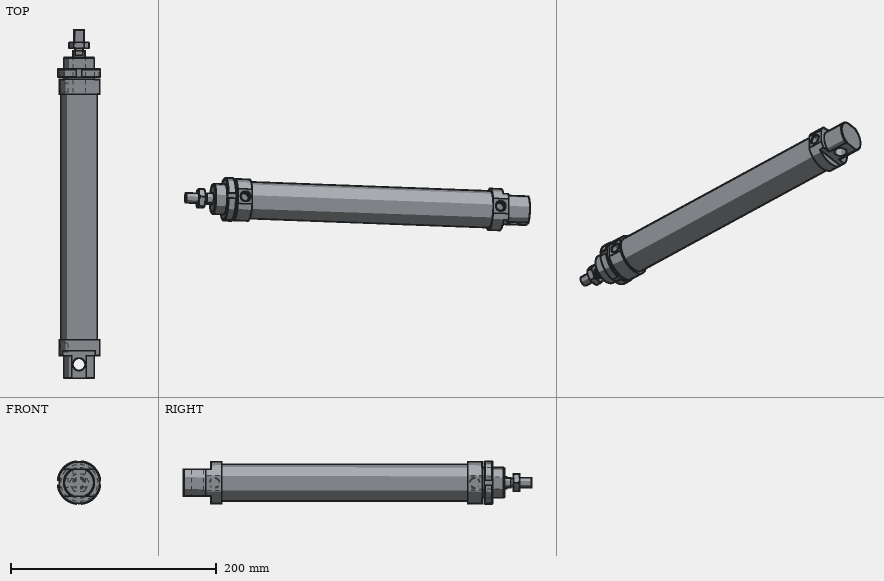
import cadquery as cq
import math


length = 339.0
lug_end = 22.0
lug_pocket_end = 26.8
rear_cap_front = 37.5
front_cap_rear = 276.5
front_cap_front = 291.0
ring_rear = 293.0
ring_front = 301.0
boss_front = 312.5

tube_diameter = 36.0
cap_diameter = 40.7
cap_flat_offset = 19.0
boss_diameter = 30.0
boss_chamfer = 1.0
lug_diameter = 30.0
lug_thickness = 26.0
lug_chamfer = 0.7
pivot_diameter = 12.0
pivot_y = 13.5
port_diameter = 8.8
port_chamfer = 0.7
port_depth = 8.0
front_port_y = 283.5
rear_port_y = 30.2

rod_diameter = 12.0
rod_inner_end = front_cap_rear
thread_diameter = 10.0
thread_length = 17.3
relief_diameter = 8.0
relief_length = 3.0
rod_shoulder_y = length - thread_length - relief_length
flat_length = 4.0
across_rod_flats = 9.5

nut_across_flats = 17.0
nut_thickness = 6.0
nut_chamfer = 0.85
nut_front = 327.0

ring_diameter = 42.0
ring_chamfer = 0.7
ring_slot_count = 4
ring_slot_width = 5.0
ring_slot_depth = 1.7


def disc(diameter, y_start, y_end):
    """Round bar on the Y axis between two stations."""
    return (
        cq.Workplane("XZ", origin=(0, y_start, 0))
        .circle(diameter / 2)
        .extrude(y_start - y_end)
    )


def block(width, height, y_start, y_end):
    """Rectangular bar centred on the Y axis between two stations."""
    return cq.Workplane("XY").box(width, y_end - y_start, height).translate((0, (y_start + y_end) / 2, 0))


def end_cap(y_start, y_end):
    """Round cap with one flat on its -X side for the port."""
    beyond_flat = block(cap_diameter, cap_diameter, y_start, y_end).translate(
        (-cap_flat_offset - cap_diameter / 2, 0, 0)
    )
    return disc(cap_diameter, y_start, y_end).cut(beyond_flat)


def port(y):
    """Blind port with a chamfered mouth, to be cut into the -X flat of a cap."""
    radius = port_diameter / 2
    profile = [
        (0, 0),
        (radius + port_chamfer, 0),
        (radius, port_chamfer),
        (radius, port_depth),
        (0, port_depth),
    ]
    upright_port = cq.Workplane("XY").polyline(profile).close().revolve(360, (0, 0), (0, 1))
    return upright_port.rotate((0, 0, 0), (0, 0, 1), -90).translate((-cap_flat_offset, y, 0))


def make_barrel():
    """Tube with both end caps, the front boss and the rear pivot lug."""
    tube = disc(tube_diameter, rear_cap_front, front_cap_rear)
    boss = disc(boss_diameter, front_cap_front, boss_front).faces(">Y").chamfer(boss_chamfer)
    front_cap = end_cap(front_cap_rear, front_cap_front)
    lug = disc(lug_diameter, 0, lug_end).faces("<Y").chamfer(lug_chamfer)
    rear_end = end_cap(lug_end, rear_cap_front).union(lug)

    around_lug = block(cap_diameter, cap_diameter, 0, lug_pocket_end)
    lug_slab = block(cap_diameter, lug_thickness, 0, lug_pocket_end)
    rear_end = rear_end.cut(around_lug.cut(lug_slab))

    pivot_hole = (
        cq.Workplane("XY", origin=(0, pivot_y, -lug_thickness / 2))
        .circle(pivot_diameter / 2)
        .extrude(lug_thickness)
    )
    rod_bore = disc(rod_diameter, rod_inner_end, boss_front)

    barrel = tube.union(front_cap).union(boss).union(rear_end)
    barrel = barrel.cut(pivot_hole).cut(rod_bore)
    return barrel.cut(port(front_port_y)).cut(port(rear_port_y))


def make_rod():
    """Stepped rod with two wrench flats, a relief groove and a threaded tip."""
    flats_rear = rod_shoulder_y - flat_length
    shank = disc(rod_diameter, rod_inner_end, flats_rear)
    flats = disc(rod_diameter, flats_rear, rod_shoulder_y).intersect(
        block(rod_diameter, across_rod_flats, flats_rear, rod_shoulder_y)
    )
    relief = disc(relief_diameter, rod_shoulder_y, rod_shoulder_y + relief_length)
    thread = disc(thread_diameter, length - thread_length, length)
    return shank.union(flats).union(relief).union(thread)


def make_rod_nut():
    """Hexagon nut with corners on the X axis and chamfered corners."""
    nut_rear = nut_front - nut_thickness
    across_corners = nut_across_flats / math.cos(math.pi / 6)
    hexagon = (
        cq.Workplane("XZ", origin=(0, nut_rear, 0))
        .polygon(6, across_corners)
        .extrude(-nut_thickness)
    )
    envelope = disc(across_corners, nut_rear, nut_front).faces("<Y or >Y").chamfer(nut_chamfer)
    return hexagon.intersect(envelope).cut(disc(thread_diameter, nut_rear, nut_front))


def make_ring_nut():
    """Round mounting nut with spanner slots around its rim."""
    ring = disc(ring_diameter, ring_rear, ring_front).faces("<Y or >Y").chamfer(ring_chamfer)
    ring = ring.cut(disc(boss_diameter, ring_rear, ring_front))
    rim = ring_diameter / 2
    slot = block(ring_slot_width, 2 * ring_slot_depth, ring_rear, ring_front).translate((0, 0, rim))
    for i in range(ring_slot_count):
        ring = ring.cut(slot.rotate((0, 0, 0), (0, 1, 0), i * 360 / ring_slot_count))
    return ring


barrel = make_barrel()
rod = make_rod()
rod_nut = make_rod_nut()
ring_nut = make_ring_nut()

result = cq.Compound.makeCompound([barrel.val(), rod.val(), rod_nut.val(), ring_nut.val()])